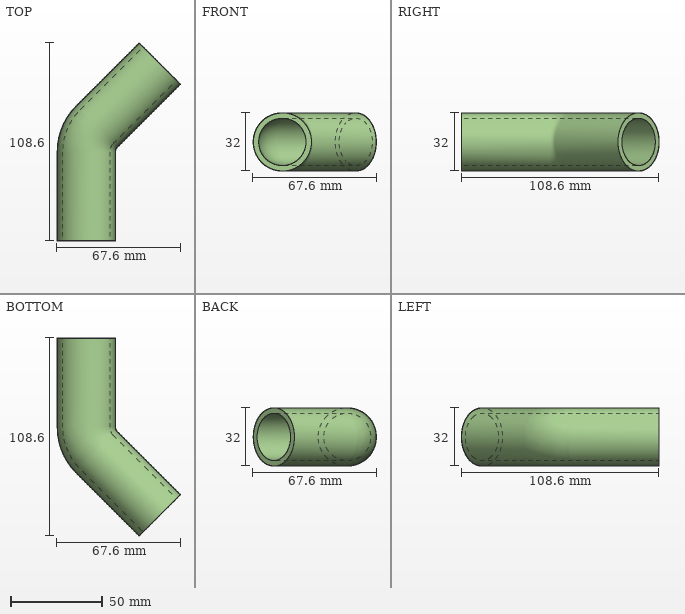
import cadquery as cq
import math

overall_length = 108.6
outer_diameter = 32.0
bore_diameter = 26.0
bend_radius = 19.2
bend_angle = 45.0

angle = math.radians(bend_angle)
outside_bend_radius = bend_radius + outer_diameter / 2
leg_length = (overall_length - outside_bend_radius * math.sin(angle)) / (1 + math.sin(angle))


def bend_point(turn):
    """Centreline point after turning from +Y towards +X by the given angle."""
    return (
        bend_radius * (1 - math.cos(turn)),
        leg_length + bend_radius * math.sin(turn),
    )


bend_end_x, bend_end_y = bend_point(angle)
centreline = (
    cq.Workplane("XY")
    .lineTo(0, leg_length)
    .threePointArc(bend_point(angle / 2), (bend_end_x, bend_end_y))
    .lineTo(
        bend_end_x + leg_length * math.sin(angle),
        bend_end_y + leg_length * math.cos(angle),
    )
)

result = (
    cq.Workplane("XZ")
    .circle(outer_diameter / 2)
    .circle(bore_diameter / 2)
    .sweep(centreline)
)